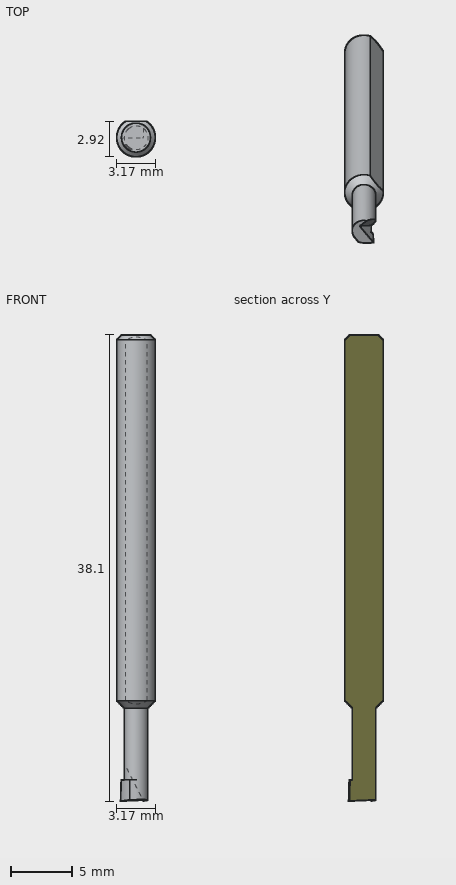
import cadquery as cq
import math

total_length = 38.1
shank_diameter = 3.175
shank_flat_y = 1.333
top_chamfer = 0.4
neck_diameter = 1.94
neck_length = 7.6

tooth_height = 1.75
tip_reach = 1.22
tip_lead = 0.05
flank_x = -0.51
flank_radius = 3.0
side_relief_angle = 2.5
front_relief_angle = 5.0

pocket_top = 3.10
pocket_slope = 0.51

shank_radius = shank_diameter / 2
neck_radius = neck_diameter / 2
heel_y = -neck_radius
cone_top = neck_length + shank_radius - neck_radius


def make_body():
    """Shank, cone and neck turned about Z, with the flat along the shank."""
    profile = [
        (0, 0),
        (neck_radius, 0),
        (neck_radius, neck_length),
        (shank_radius, cone_top),
        (shank_radius, total_length - top_chamfer),
        (shank_radius - top_chamfer, total_length),
        (0, total_length),
    ]
    body = cq.Workplane("XZ").polyline(profile).close().revolve(360, (0, 0), (0, 1))
    flat_cut = (
        cq.Workplane("XY")
        .box(shank_diameter, shank_radius, total_length, centered=(True, False, False))
        .translate((0, shank_flat_y, 0))
    )
    return body.cut(flat_cut)


def make_pocket():
    """Wedge in front of the rake face, deepening towards the tip."""
    outer_x = -shank_radius
    depth_at_tip = pocket_slope * pocket_top
    side = [
        (outer_x, 0),
        (depth_at_tip - neck_radius, 0),
        (-neck_radius, pocket_top),
        (outer_x, pocket_top),
    ]
    return cq.Workplane("XZ").polyline(side).close().extrude(-shank_radius)


def make_tooth_section(workplane, reach):
    """Tooth section below the rake plane: bowed flank, then a flat heel tangent to the neck."""
    half_chord = math.hypot(reach + flank_x, heel_y) / 2
    bulge = flank_radius - math.sqrt(flank_radius**2 - half_chord**2)
    normal_x = heel_y / (2 * half_chord)
    normal_y = -(reach + flank_x) / (2 * half_chord)
    flank_middle = (
        (flank_x - reach) / 2 + bulge * normal_x,
        heel_y / 2 + bulge * normal_y,
    )
    return (
        workplane.moveTo(0, 0)
        .lineTo(-reach, 0)
        .threePointArc(flank_middle, (flank_x, heel_y))
        .lineTo(0, heel_y)
        .close()
    )


def make_tooth():
    """Tooth reaching slightly further at the bottom than at the top."""
    bottom = make_tooth_section(cq.Workplane("XY"), tip_reach + tip_lead)
    both_ends = make_tooth_section(bottom.workplane(offset=tooth_height), tip_reach)
    return both_ends.loft(ruled=True)


def make_end_relief():
    """Block under the end face, tilted about the tip so that the tip stays the lowest point."""
    size = 2 * shank_diameter
    tip = (-(tip_reach + tip_lead), 0, 0)
    return (
        cq.Workplane("XY")
        .box(size, size, size, centered=(True, True, False))
        .translate((0, 0, -size))
        .rotate((0, 0, 0), (0, 1, 0), -side_relief_angle)
        .rotate((0, 0, 0), (1, 0, 0), -front_relief_angle)
        .translate(tip)
    )


result = make_body().cut(make_pocket()).union(make_tooth()).cut(make_end_relief())